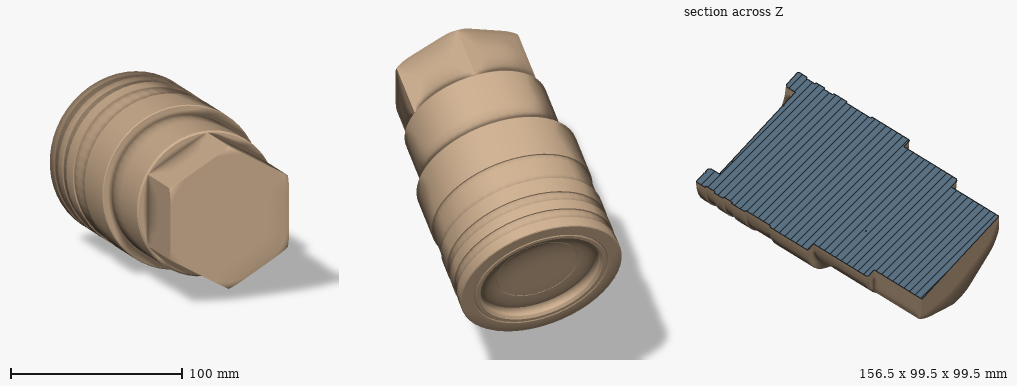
import cadquery as cq
import math

sleeve_radius = 49.75
sleeve_end = 82.0
sleeve_chamfer = 0.5
relief_radius = 48.75
reliefs = [(6.8, 13.2), (19.8, 26.0), (36.0, 54.0)]
relief_clearance = 1.0

barrel_radius = 44.0
barrel_end = 121.5
barrel_chamfer = 1.0

total_length = 156.5
hex_across_flats = 75.0
hex_end_radius = 38.8
hex_round_radius = 6.0

recess_mouth_radius = 38.1
recess_radius = 36.75
recess_taper_depth = 1.5
recess_depth = 7.5

face_groove_radius = 40.9
face_groove_depth = 0.6

floor_groove_outer_radii = [recess_radius, 25.3]
floor_groove_width = 0.35
floor_groove_depth = 0.5


def cylinder(radius, start, end):
    """Solid cylinder about the X axis between two X positions."""
    return cq.Workplane("YZ", origin=(start, 0, 0)).circle(radius).extrude(end - start)


def ring(outer_radius, inner_radius, start, end):
    """Tube about the X axis between two X positions."""
    return cylinder(outer_radius, start, end).cut(cylinder(inner_radius, start, end))


def make_sleeve():
    sleeve = cylinder(sleeve_radius, 0, sleeve_end).edges().chamfer(sleeve_chamfer)
    for start, end in reliefs:
        sleeve = sleeve.cut(ring(sleeve_radius + relief_clearance, relief_radius, start, end))
    return sleeve


def make_barrel():
    barrel = cylinder(barrel_radius, 0, barrel_end)
    return barrel.faces(">X").edges().chamfer(barrel_chamfer)


def make_hexagon():
    corner_radius = hex_across_flats / math.sqrt(3)
    prism = (
        cq.Workplane("YZ", origin=(barrel_end, 0, 0))
        .transformed(rotate=(0, 0, 90))
        .polygon(6, 2 * corner_radius)
        .extrude(total_length - barrel_end)
    )
    corner_rise = corner_radius - hex_end_radius
    round_length = hex_round_radius - math.sqrt(hex_round_radius**2 - corner_rise**2)
    half_sweep = math.asin(corner_rise / hex_round_radius) / 2
    round_middle = (
        total_length - hex_round_radius * (1 - math.cos(half_sweep)),
        hex_end_radius + hex_round_radius * math.sin(half_sweep),
    )
    envelope = (
        cq.Workplane("XY")
        .moveTo(barrel_end, 0)
        .lineTo(barrel_end, corner_radius)
        .lineTo(total_length - round_length, corner_radius)
        .threePointArc(round_middle, (total_length, hex_end_radius))
        .lineTo(total_length, 0)
        .close()
        .revolve(360, (0, 0, 0), (1, 0, 0))
    )
    return prism.intersect(envelope)


def make_recess():
    return (
        cq.Workplane("XY")
        .lineTo(0, recess_mouth_radius)
        .lineTo(recess_taper_depth, recess_radius)
        .lineTo(recess_depth, recess_radius)
        .lineTo(recess_depth, 0)
        .close()
        .revolve(360, (0, 0, 0), (1, 0, 0))
    )


def make_face_groove():
    return (
        cq.Workplane("XY")
        .moveTo(0, face_groove_radius - face_groove_depth)
        .lineTo(face_groove_depth, face_groove_radius)
        .lineTo(0, face_groove_radius + face_groove_depth)
        .close()
        .revolve(360, (0, 0, 0), (1, 0, 0))
    )


def make_floor_groove(outer_radius):
    inner_radius = outer_radius - floor_groove_width
    return ring(outer_radius, inner_radius, recess_depth, recess_depth + floor_groove_depth)


body = make_sleeve().union(make_barrel()).union(make_hexagon())
result = body.cut(make_recess()).cut(make_face_groove())
for groove_radius in floor_groove_outer_radii:
    result = result.cut(make_floor_groove(groove_radius))